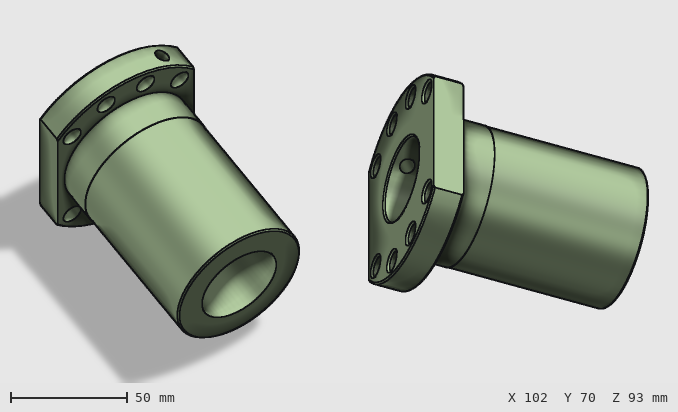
import cadquery as cq
import math

total_length = 102.0
flange_diameter = 93.0
flange_width = 70.0
flange_thickness = 14.0
flange_chamfer = 0.7

land_diameter = 63.0
land_length = 16.0
sleeve_diameter = 62.6
sleeve_chamfer = 0.7
bore_diameter = 38.0
bore_chamfer = 0.7

bolt_circle_radius = 39.0
bolt_hole_diameter = 9.0
bolt_hole_chamfer = 0.9
bolt_angles = (45, 75, 105, 135, 225, 255, 285, 315)

port_diameter = 6.6
port_angle = 60


def cylinder(diameter, start, end):
    """Solid cylinder along the X axis between two X positions."""
    return cq.Workplane("YZ").workplane(offset=start).circle(diameter / 2).extrude(end - start)


def make_flange():
    """Round flange with chamfered rims and two flats facing -Y and +Y."""
    disc = cylinder(flange_diameter, 0, flange_thickness).edges("%CIRCLE").chamfer(flange_chamfer)
    flats = cq.Workplane("YZ").rect(flange_width, flange_diameter).extrude(flange_thickness)
    return disc.intersect(flats)


def make_sleeve():
    """Locating land behind the flange, then the slightly smaller sleeve."""
    land = cylinder(land_diameter, 0, flange_thickness + land_length)
    sleeve = cylinder(sleeve_diameter, 0, total_length).faces(">X").chamfer(sleeve_chamfer)
    return land.union(sleeve)


def chamfered_hole(diameter, chamfer, length, y=0, z=0):
    """Cutter along X from the flange face, with a conical mouth at that face."""
    radius = diameter / 2
    mouth_radius = radius + chamfer
    profile = [
        (0, 0),
        (0, mouth_radius),
        (chamfer, radius),
        (length, radius),
        (length, 0),
    ]
    cutter = cq.Workplane("XY").polyline(profile).close().revolve(360, (0, 0, 0), (1, 0, 0))
    return cutter.translate((0, y, z))


def make_port():
    """Radial port from the flange rim into the bore."""
    direction = cq.Vector(0, math.cos(math.radians(port_angle)), math.sin(math.radians(port_angle)))
    start = cq.Vector(flange_thickness / 2, 0, 0)
    port = cq.Solid.makeCylinder(port_diameter / 2, flange_diameter / 2, start, direction)
    return cq.Workplane(port)


result = make_flange().union(make_sleeve())
result = result.cut(chamfered_hole(bore_diameter, bore_chamfer, total_length))
for bolt_angle in bolt_angles:
    hole_y = bolt_circle_radius * math.cos(math.radians(bolt_angle))
    hole_z = bolt_circle_radius * math.sin(math.radians(bolt_angle))
    result = result.cut(
        chamfered_hole(bolt_hole_diameter, bolt_hole_chamfer, flange_thickness, hole_y, hole_z)
    )
result = result.cut(make_port())